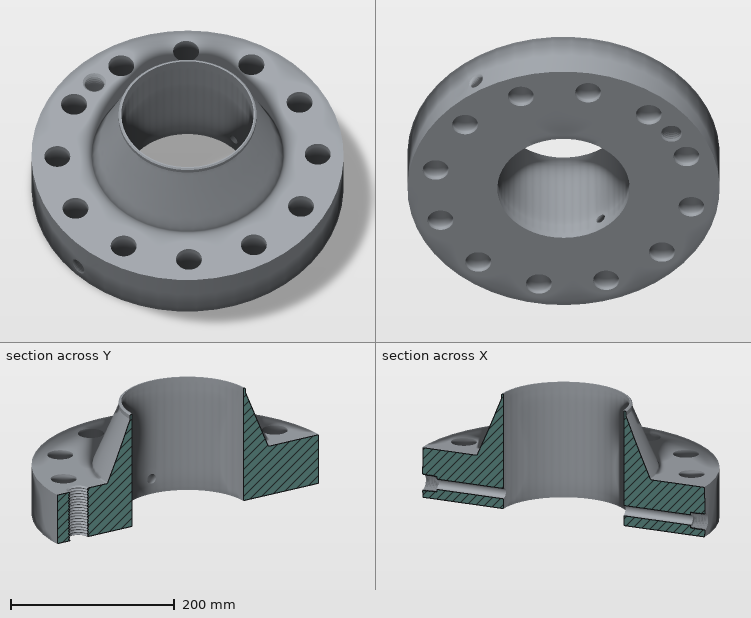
import cadquery as cq
import math

flange_radius = 190.5
flange_thickness = 64.0
overall_height = 147.5

bore_radius = 80.8
neck_radius = 84.2
neck_straight_height = 6.5
weld_land = 1.5
weld_bevel_angle = 37.5
hub_foot_radius = 117.5
hub_foot_fillet = 2.0

bolt_count = 12
bolt_circle_radius = 159.0
bolt_hole_diameter = 31.5

jack_major_diameter = 28.5
jack_thread_height = 2.1
jack_pitch = 3.62

tap_height = 19.5
tap_bore_diameter = 12.5
tap_mouth_diameter = 21.5
tap_thread_height = 1.5
tap_pitch = 2.0
tap_thread_turns = 10
tap_taper = 1 / 32


def flange_body():
    """Disc, conical hub and bevelled weld end, revolved around Z."""
    bevel_width = neck_radius - bore_radius - weld_land
    bevel_height = bevel_width * math.tan(math.radians(weld_bevel_angle))
    body = (
        cq.Workplane("XZ")
        .moveTo(bore_radius, 0)
        .lineTo(flange_radius, 0)
        .lineTo(flange_radius, flange_thickness)
        .lineTo(hub_foot_radius, flange_thickness)
        .lineTo(neck_radius, overall_height - neck_straight_height)
        .lineTo(neck_radius, overall_height - bevel_height)
        .lineTo(bore_radius + weld_land, overall_height)
        .lineTo(bore_radius, overall_height)
        .close()
        .revolve(360, (0, 0), (0, 1))
    )
    foot_edge = cq.selectors.RadiusNthSelector(-2)
    return body.edges("%CIRCLE").edges(foot_edge).fillet(hub_foot_fillet)


def bolt_holes():
    return (
        cq.Workplane("XY")
        .polarArray(bolt_circle_radius, 180 / bolt_count, 360, bolt_count)
        .circle(bolt_hole_diameter / 2)
        .extrude(flange_thickness)
    )


def thread_cutter(major_radius, thread_height, pitch, turns, taper=0):
    """Solid along +Z with one V-shaped ring per turn, starting at its widest on Z = 0."""
    profile = cq.Workplane("XZ").lineTo(major_radius, 0)
    for turn in range(turns):
        crest_depth = (turn + 0.5) * pitch
        root_depth = (turn + 1) * pitch
        profile = profile.lineTo(major_radius - thread_height - taper * crest_depth, crest_depth)
        profile = profile.lineTo(major_radius - taper * root_depth, root_depth)
    return profile.lineTo(0, turns * pitch).close().revolve(360, (0, 0), (0, 1))


def jack_screw_hole():
    """Threaded hole through the whole flange thickness, cut downwards from its top face."""
    turns = math.ceil(flange_thickness / jack_pitch)
    cutter = thread_cutter(jack_major_diameter / 2, jack_thread_height, jack_pitch, turns)
    cutter = cutter.rotate((0, 0, 0), (1, 0, 0), 180)
    return cutter.translate((-bolt_circle_radius, 0, flange_thickness))


def pressure_taps():
    """Plain drilling across the flange into the bore, threaded at both outer ends."""
    taps = (
        cq.Workplane("XZ", origin=(0, flange_radius, tap_height))
        .circle(tap_bore_diameter / 2)
        .extrude(2 * flange_radius)
    )
    thread = thread_cutter(tap_mouth_diameter / 2, tap_thread_height, tap_pitch, tap_thread_turns, tap_taper)
    thread = thread.rotate((0, 0, 0), (1, 0, 0), -90)
    front_thread = thread.translate((0, -flange_radius, tap_height))
    back_thread = thread.rotate((0, 0, 0), (0, 0, 1), 180).translate((0, flange_radius, tap_height))
    return taps.union(front_thread).union(back_thread)


result = flange_body().cut(bolt_holes()).cut(jack_screw_hole()).cut(pressure_taps())